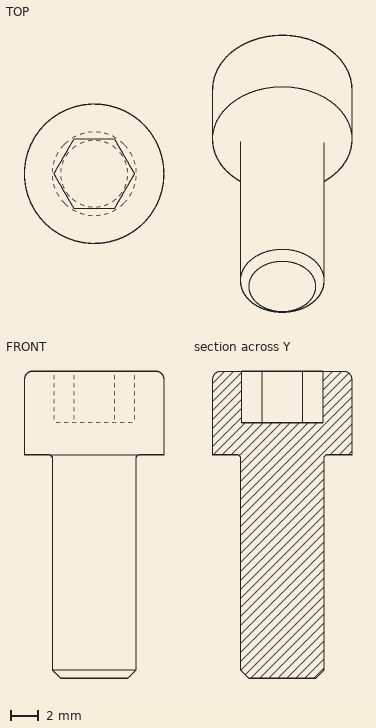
import cadquery as cq
import math

thread_diameter = 6.0
shank_length = 16.0
head_diameter = 10.0
head_height = thread_diameter
head_edge_radius = 0.6
neck_fillet_radius = 0.25
tip_chamfer = 0.61
socket_across_flats = 5.0
socket_depth = 3.7

head_radius = head_diameter / 2
shank_radius = thread_diameter / 2


def make_head():
    """Cylindrical head with a rounded top edge."""
    head = cq.Workplane("XY").circle(head_radius).extrude(head_height)
    return head.faces(">Z").edges().fillet(head_edge_radius)


def make_shank():
    """Plain shank below the head with a chamfered tip."""
    shank = cq.Workplane("XY").circle(shank_radius).extrude(-shank_length)
    return shank.faces("<Z").edges().chamfer(tip_chamfer)


def make_neck_fillet():
    """Concave ring that blends the shank into the underside of the head."""
    arc_inset = neck_fillet_radius * (1 - math.sqrt(0.5))
    profile = (
        cq.Workplane("XZ")
        .moveTo(0, 0)
        .lineTo(shank_radius + neck_fillet_radius, 0)
        .threePointArc(
            (shank_radius + arc_inset, -arc_inset),
            (shank_radius, -neck_fillet_radius),
        )
        .lineTo(0, -neck_fillet_radius)
        .close()
    )
    return profile.revolve(360, (0, 0, 0), (0, 1, 0))


def make_socket():
    """Hexagonal key socket with two corners on the X axis."""
    across_corners = socket_across_flats / math.cos(math.pi / 6)
    return (
        cq.Workplane("XY")
        .workplane(offset=head_height)
        .polygon(6, across_corners)
        .extrude(-socket_depth)
    )


result = make_head().union(make_shank()).union(make_neck_fillet()).cut(make_socket())